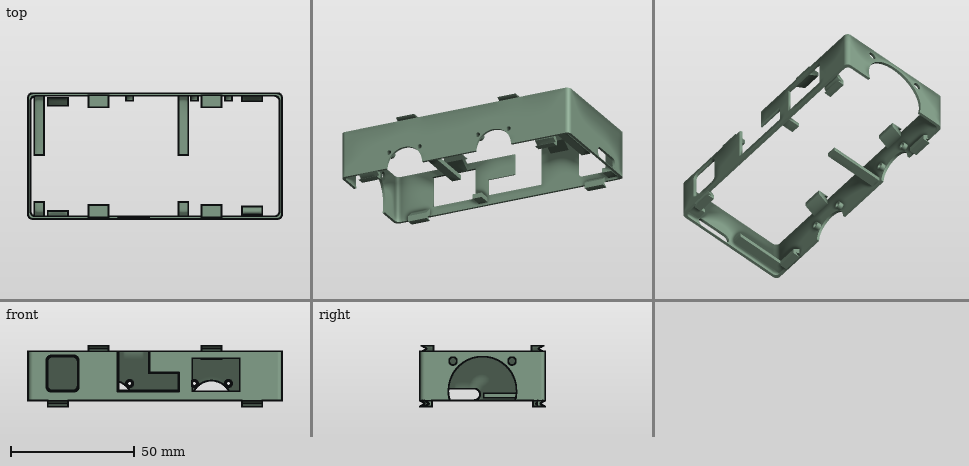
import cadquery as cq
import math

LENGTH = 103.0
WIDTH = 51.0
HEIGHT = 20.0
WALL = 1.1
CORNER_RADIUS = 2.0
INNER_X = LENGTH / 2 - WALL
OUTER_Y = WIDTH / 2
INNER_Y = OUTER_Y - WALL
CUT_DEPTH = 3 * WALL

BEVEL = 0.57
BEVEL_ANGLE = 45
BUTTON_X = (-44.1, -30.8)
BUTTON_Z = (3.5, 18.3)
BUTTON_RADIUS = 2.4
SLOT_X = (-15.3, 9.9)
SLOT_BOTTOM = 3.5
SLOT_NECK_RIGHT = -2.1
SLOT_FOOT_TOP = 11.5
DISPLAY_X = (15.0, 34.4)
DISPLAY_Z = (3.8, 17.1)

SPEAKER_X = (-17.2, 22.9)
SPEAKER_RADIUS = 8.0
BOSS_OFFSET = 6.9
BOSS_DIAMETER = 3.0
BOSS_HOLE_DIAMETER = 2.0
BOSS_LENGTH = 2.0

FAN_CENTER_Z = 4.0
FAN_RADIUS = 13.8
FAN_HOLE_OFFSET = 11.9
FAN_HOLE_DIAMETER = 3.2

PORT_Y = -9.1
PORT_Z = 2.5
PORT_LENGTH = 16.1
PORT_HEIGHT = 4.5

BAR_WIDTH = 4.0
BAR_HEIGHT = 2.0
BAR_BOTTOM = 1.0
BAR_LEFT_X = (-48.9, 9.5)
REAR_BAR_END = 0.4
FRONT_BAR_END = -18.5

CLIP_WIDTH = 8.2
GROOVE_HEIGHT = 2.5
GROOVE_FLANK_ANGLE = 30
GROOVE_DEPTH = GROOVE_HEIGHT / 2 / math.tan(math.radians(GROOVE_FLANK_ANGLE))
TOP_CLIP_X = 22.9
TOP_CLIP_RISE = 2.3
TOP_CLIP_TIP = 24.7
TOP_CLIP_INNER = 19.8
TOP_CLIP_RAMP = 3.2
LOW_CLIP_X = 39.3
LOW_CLIP_TIP = 25.4
LOW_CLIP_LENGTH = 3.3
LOW_CLIP_RAMP = 2.9
LOOSE_CLIP_SHIFT = 1.8


def block(x_range, y_range, z_range):
    """Box spanning three (low, high) pairs."""
    size = [high - low for low, high in (x_range, y_range, z_range)]
    corner = (x_range[0], y_range[0], z_range[0])
    return cq.Workplane("XY").box(*size, centered=False).translate(corner)


def mirrored_to_front(solid):
    return solid.mirror("XZ")


def frame():
    outer = cq.Workplane("XY").rect(LENGTH, WIDTH).extrude(HEIGHT)
    inner = cq.Workplane("XY").rect(2 * INNER_X, 2 * INNER_Y).extrude(HEIGHT)
    return outer.edges("|Z").fillet(CORNER_RADIUS).cut(inner.edges("|Z").fillet(CORNER_RADIUS))


def bevelled_cutter(outline):
    """Front wall cutter from an (x, z) sketch: straight, with a flare to the outer face."""
    flare_start = cq.Workplane("XZ", origin=(0, BEVEL - OUTER_Y, 0))
    flare = flare_start.placeSketch(outline).extrude(BEVEL, taper=-BEVEL_ANGLE)
    return flare.union(flare_start.placeSketch(outline).extrude(-CUT_DEPTH))


def button_opening():
    width = BUTTON_X[1] - BUTTON_X[0] - 2 * BEVEL
    height = BUTTON_Z[1] - BUTTON_Z[0] - 2 * BEVEL
    center = cq.Location(cq.Vector(sum(BUTTON_X) / 2, sum(BUTTON_Z) / 2, 0))
    outline = cq.Sketch().rect(width, height).vertices().fillet(BUTTON_RADIUS - BEVEL)
    return bevelled_cutter(outline.moved(center))


def slot_opening():
    left = SLOT_X[0] + BEVEL
    right = SLOT_X[1] - BEVEL
    neck_right = SLOT_NECK_RIGHT - BEVEL
    bottom = SLOT_BOTTOM + BEVEL
    foot_top = SLOT_FOOT_TOP - BEVEL
    above = HEIGHT + WALL
    points = [
        (left, bottom),
        (right, bottom),
        (right, foot_top),
        (neck_right, foot_top),
        (neck_right, above),
        (left, above),
        (left, bottom),
    ]
    return bevelled_cutter(cq.Sketch().polygon(points))


def display_opening():
    return block(DISPLAY_X, (-OUTER_Y - WALL, -OUTER_Y + 2 * WALL), DISPLAY_Z)


def port_opening():
    port = cq.Workplane("YZ", origin=(-LENGTH / 2, PORT_Y, PORT_Z))
    return port.slot2D(PORT_LENGTH, PORT_HEIGHT).extrude(CUT_DEPTH, both=True)


def fan_opening():
    fan = cq.Workplane("YZ", origin=(LENGTH / 2, 0, FAN_CENTER_Z))
    holes = fan.pushPoints([(-FAN_HOLE_OFFSET, FAN_HOLE_OFFSET), (FAN_HOLE_OFFSET, FAN_HOLE_OFFSET)])
    cutter = fan.circle(FAN_RADIUS).extrude(CUT_DEPTH, both=True)
    return cutter.union(holes.circle(FAN_HOLE_DIAMETER / 2).extrude(CUT_DEPTH, both=True))


def rear_cylinders(points, diameter, y_start, length):
    """Cylinders at (x, z) points, running from y_start toward the front."""
    plane = cq.Workplane("XZ", origin=(0, y_start, 0))
    return plane.pushPoints(points).circle(diameter / 2).extrude(length)


def add_speaker(housing, center_x):
    bosses = [(center_x + side * BOSS_OFFSET, BOSS_OFFSET) for side in (-1, 1)]
    housing = housing.union(rear_cylinders(bosses, BOSS_DIAMETER, INNER_Y, BOSS_LENGTH))
    housing = housing.cut(rear_cylinders(bosses, BOSS_HOLE_DIAMETER, OUTER_Y, WALL + BOSS_LENGTH))
    return housing.cut(rear_cylinders([(center_x, 0)], 2 * SPEAKER_RADIUS, OUTER_Y, WALL))


def bar_pair(left_x):
    x_range = (left_x, left_x + BAR_WIDTH)
    z_range = (BAR_BOTTOM, BAR_BOTTOM + BAR_HEIGHT)
    wall_middle = INNER_Y + WALL / 2
    rear = block(x_range, (REAR_BAR_END, wall_middle), z_range)
    return rear.union(block(x_range, (-wall_middle, FRONT_BAR_END), z_range))


def top_clip(center_x):
    """Rear clip above the upper rim, carried by a ramp on the inside of the wall."""
    top = HEIGHT + TOP_CLIP_RISE
    groove_bottom = top - GROOVE_HEIGHT
    points = [
        (TOP_CLIP_INNER, HEIGHT),
        (TOP_CLIP_INNER, top),
        (TOP_CLIP_TIP, top),
        (TOP_CLIP_TIP - GROOVE_DEPTH, top - GROOVE_HEIGHT / 2),
        (TOP_CLIP_TIP, groove_bottom),
        (TOP_CLIP_TIP, HEIGHT - TOP_CLIP_RAMP),
    ]
    profile = cq.Workplane("YZ", origin=(center_x, 0, 0)).polyline(points).close()
    return profile.extrude(CLIP_WIDTH / 2, both=True)


def low_clip(center_x, shift):
    """Rear clip below the lower rim, with a ramp on top, moved inward by shift."""
    tip = LOW_CLIP_TIP - shift
    points = [
        (tip - LOW_CLIP_LENGTH, 0),
        (tip - LOW_CLIP_LENGTH, -GROOVE_HEIGHT),
        (tip, -GROOVE_HEIGHT),
        (tip - GROOVE_DEPTH, -GROOVE_HEIGHT / 2),
        (tip, 0),
        (tip, LOW_CLIP_RAMP),
    ]
    profile = cq.Workplane("YZ", origin=(center_x, 0, 0)).polyline(points).close()
    return profile.extrude(CLIP_WIDTH / 2, both=True)


def make_housing():
    housing = frame()
    for opening in (button_opening, slot_opening, display_opening, port_opening, fan_opening):
        housing = housing.cut(opening())
    for center_x in SPEAKER_X:
        housing = add_speaker(housing, center_x)
    for left_x in BAR_LEFT_X:
        housing = housing.union(bar_pair(left_x))
    for center_x in (-TOP_CLIP_X, TOP_CLIP_X):
        clip = top_clip(center_x)
        housing = housing.union(clip).union(mirrored_to_front(clip))
    housing = housing.union(low_clip(LOW_CLIP_X, 0))
    return housing.union(mirrored_to_front(low_clip(-LOW_CLIP_X, 0)))


def make_loose_clips():
    """Two separate clips, diagonally opposite, clear of the walls by a small gap."""
    rear_clip = low_clip(-LOW_CLIP_X, LOOSE_CLIP_SHIFT)
    front_clip = mirrored_to_front(low_clip(LOW_CLIP_X, LOOSE_CLIP_SHIFT))
    return [rear_clip, front_clip]


housing = make_housing()
loose_clips = make_loose_clips()
result = cq.Compound.makeCompound([housing.val(), *[clip.val() for clip in loose_clips]])